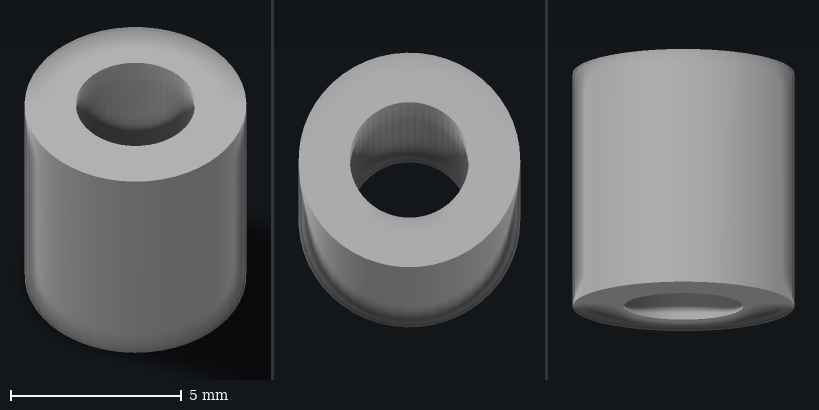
import cadquery as cq

height = 7.0
outer_diameter = 6.5
bore_diameter = 3.5

result = (
    cq.Workplane("XY")
    .circle(outer_diameter / 2)
    .circle(bore_diameter / 2)
    .extrude(height)
)